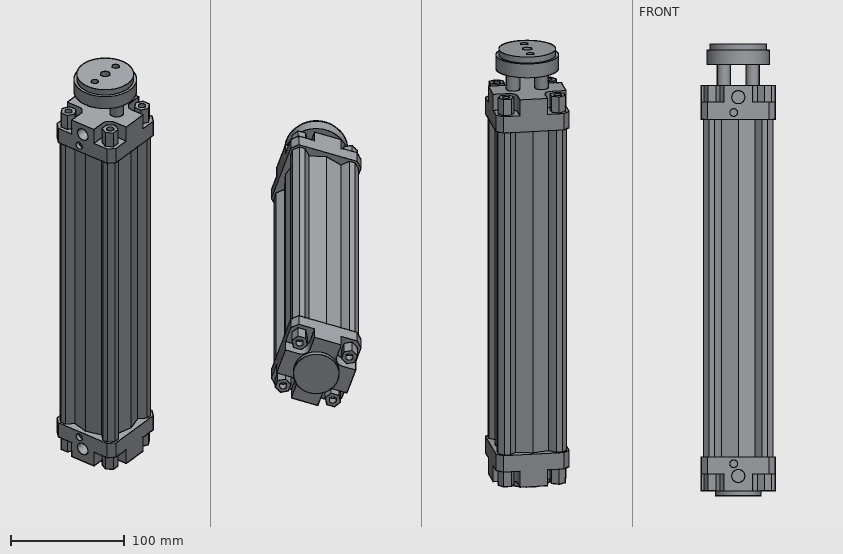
import cadquery as cq
import math

TOTAL_HEIGHT = 397.0
BOSS_HEIGHT = 4.5
CAP_HEIGHT = 29.8
HOUSING_TOP = 360.5
TOOL_PLATE_BOTTOM = 378.7
TOOL_PLATE_STEP = 391.5

CAP_WIDTH = 65.0
CAP_CHAMFER = 5.5
BOSS_DIAMETER = 40.0
NOTCH_EDGE = 12.5
NOTCH_RADIUS = 7.5
NOTCH_DEPTH = 14.5

SCREW_OFFSET = 23.0
SCREW_ACROSS_FLATS = 12.5
SCREW_HOLE_DIAMETER = 6.5
SCREW_HOLE_DEPTH = 8.0
DRILL_TIP_ANGLE = 118.0

PORT_DIAMETER = 11.5
PORT_DEPTH = 12.0
UPPER_PORT_Z = 350.0
LOWER_PORT_Z = 17.5
SMALL_PORT_DIAMETER = 6.7
SMALL_PORT_DEPTH = 4.0
SMALL_PORT_X = -4.0
SMALL_PORT_RISE = 6.0

BARREL_HALF_WIDTH = 30.5
BARREL_CHAMFER = 4.8
RIDGE_OFFSET = 28.5
VALLEY_OFFSET = 24.5
VALLEY_X = 14.5
GROOVE_EDGE_X = VALLEY_X + BARREL_HALF_WIDTH - VALLEY_OFFSET

PLATE_DIAMETER = 55.0
PLATE_TOP_DIAMETER = 50.0
ROD_DIAMETER = 12.0
ROD_OFFSET = 12.7
CENTRE_HOLE_DIAMETER = 8.5
SIDE_HOLE_DIAMETER = 6.5
SIDE_HOLE_OFFSET = 15.0
PLATE_HOLE_DEPTH = 10.0


def cylinder(diameter, bottom, top, x=0.0, y=0.0):
    return cq.Workplane("XY", origin=(x, y, bottom)).circle(diameter / 2).extrude(top - bottom)


def rotated(shape, angle):
    return shape.rotate((0, 0, 0), (0, 0, 1), angle)


def make_corner_notch():
    """Square cut with a rounded inner corner, below the top of the cap at +X +Y."""
    size = CAP_WIDTH / 2
    return (
        cq.Workplane("XY", origin=(NOTCH_EDGE, NOTCH_EDGE, CAP_HEIGHT - NOTCH_DEPTH))
        .rect(size, size, centered=False)
        .extrude(NOTCH_DEPTH)
        .edges("|Z and <X and <Y")
        .fillet(NOTCH_RADIUS)
    )


def make_screw_head():
    """Hexagon head at the +X +Y corner with a drilled, cone-tipped hole."""
    radius = SCREW_HOLE_DIAMETER / 2
    tip_depth = radius / math.tan(math.radians(DRILL_TIP_ANGLE / 2))
    head = (
        cq.Workplane("XY", origin=(SCREW_OFFSET, SCREW_OFFSET, CAP_HEIGHT - NOTCH_DEPTH))
        .transformed(rotate=(0, 0, 30))
        .polygon(6, SCREW_ACROSS_FLATS, circumscribed=True)
        .extrude(NOTCH_DEPTH)
    )
    drill = (
        cq.Workplane("XZ")
        .polyline([
            (0, CAP_HEIGHT),
            (radius, CAP_HEIGHT),
            (radius, CAP_HEIGHT - SCREW_HOLE_DEPTH),
            (0, CAP_HEIGHT - SCREW_HOLE_DEPTH - tip_depth),
        ])
        .close()
        .revolve(360, (0, 0, 0), (0, 1, 0))
        .translate((SCREW_OFFSET, SCREW_OFFSET, 0))
    )
    return head.cut(drill)


def make_cap():
    """End cap standing on Z = 0, with its notched outer end upward."""
    cap = (
        cq.Workplane("XY")
        .rect(CAP_WIDTH, CAP_WIDTH)
        .extrude(CAP_HEIGHT)
        .edges("|Z")
        .chamfer(CAP_CHAMFER)
    )
    notch = make_corner_notch()
    screw_head = make_screw_head()
    for angle in (0, 90, 180, 270):
        cap = cap.cut(rotated(notch, angle))
        cap = cap.union(rotated(screw_head, angle))
    return cap


def make_barrel(bottom, top):
    """Extruded tube: each side has a shallow middle ridge between two grooves."""
    corner_x = BARREL_HALF_WIDTH - BARREL_CHAMFER
    side = [
        (-corner_x, -BARREL_HALF_WIDTH),
        (-GROOVE_EDGE_X, -BARREL_HALF_WIDTH),
        (-VALLEY_X, -VALLEY_OFFSET),
        (0, -RIDGE_OFFSET),
        (VALLEY_X, -VALLEY_OFFSET),
        (GROOVE_EDGE_X, -BARREL_HALF_WIDTH),
        (corner_x, -BARREL_HALF_WIDTH),
    ]
    outline = []
    for _ in range(4):
        outline += side
        side = [(-y, x) for x, y in side]
    return cq.Workplane("XY", origin=(0, 0, bottom)).polyline(outline).close().extrude(top - bottom)


def front_hole(diameter, depth, x, z):
    """Blind hole cutter going into the -Y face."""
    return (
        cq.Workplane("XZ", origin=(x, -CAP_WIDTH / 2, z))
        .circle(diameter / 2)
        .extrude(-depth)
    )


def make_housing():
    lower_cap_top = BOSS_HEIGHT + CAP_HEIGHT
    upper_cap_bottom = HOUSING_TOP - CAP_HEIGHT
    cap = make_cap()
    upper_cap = cap.translate((0, 0, upper_cap_bottom))
    lower_cap = cap.mirror("XY").translate((0, 0, lower_cap_top))

    housing = make_barrel(lower_cap_top, upper_cap_bottom).union(upper_cap).union(lower_cap)
    housing = housing.union(cylinder(BOSS_DIAMETER, 0, BOSS_HEIGHT))

    for port_z in (LOWER_PORT_Z, UPPER_PORT_Z):
        housing = housing.cut(front_hole(PORT_DIAMETER, PORT_DEPTH, 0, port_z))
    for small_port_z in (lower_cap_top - SMALL_PORT_RISE, upper_cap_bottom + SMALL_PORT_RISE):
        housing = housing.cut(
            front_hole(SMALL_PORT_DIAMETER, SMALL_PORT_DEPTH, SMALL_PORT_X, small_port_z)
        )
    return housing


def make_tool_plate():
    """Stepped round plate with its two rods, which end on the top of the housing."""
    plate = cylinder(PLATE_DIAMETER, TOOL_PLATE_BOTTOM, TOOL_PLATE_STEP)
    plate = plate.union(cylinder(PLATE_TOP_DIAMETER, TOOL_PLATE_STEP, TOTAL_HEIGHT))
    for rod_x in (-ROD_OFFSET, ROD_OFFSET):
        plate = plate.union(cylinder(ROD_DIAMETER, HOUSING_TOP, TOOL_PLATE_BOTTOM, x=rod_x))

    hole_bottom = TOTAL_HEIGHT - PLATE_HOLE_DEPTH
    plate = plate.cut(cylinder(CENTRE_HOLE_DIAMETER, hole_bottom, TOTAL_HEIGHT))
    for hole_y in (-SIDE_HOLE_OFFSET, SIDE_HOLE_OFFSET):
        plate = plate.cut(cylinder(SIDE_HOLE_DIAMETER, hole_bottom, TOTAL_HEIGHT, y=hole_y))
    return plate


housing = make_housing()
tool_plate = make_tool_plate()

result = cq.Compound.makeCompound([housing.val(), tool_plate.val()])